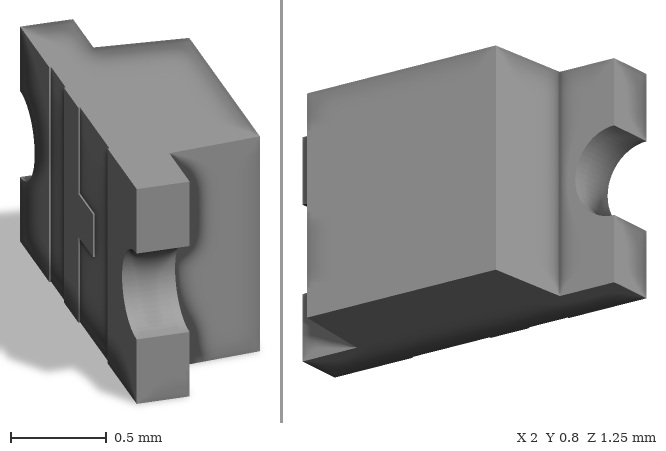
import cadquery as cq
import math


length = 2.0
width = 1.25
overall_thickness = 0.8

board_thickness = 0.3
metal_thickness = 0.01
end_notch_radius = 0.25

end_pad_length = 0.5
mark_bar_length = 0.25
mark_stem_length = 0.25
mark_stem_width = 0.25

lens_height = overall_thickness - board_thickness
lens_base_length = 1.3
lens_draft_angle = 5.0
lens_inset = lens_height * math.tan(math.radians(lens_draft_angle))
lens_top_length = lens_base_length - 2 * lens_inset


def block(x_start, x_length, y_start, y_length, z_width):
    """Box that starts at the given X and Y and is centred on Z = 0."""
    box = cq.Workplane("XY").box(x_length, y_length, z_width, centered=(False, False, True))
    return box.translate((x_start, y_start, 0))


def make_board():
    core_thickness = board_thickness - 2 * metal_thickness
    board = block(-length / 2, length, metal_thickness, core_thickness, width)

    seat_start = board_thickness - metal_thickness
    board = board.union(block(-lens_base_length / 2, lens_base_length, seat_start, metal_thickness, width))

    for pad_start in (-length / 2, length / 2 - end_pad_length):
        board = board.union(block(pad_start, end_pad_length, 0, metal_thickness, width))

    board = board.union(block(-mark_bar_length, mark_bar_length, 0, metal_thickness, width))
    board = board.union(block(0, mark_stem_length, 0, metal_thickness, mark_stem_width))

    notches = (
        cq.Workplane("XZ")
        .pushPoints([(-length / 2, 0), (length / 2, 0)])
        .circle(end_notch_radius)
        .extrude(-board_thickness)
    )
    return board.cut(notches)


def make_lens():
    return (
        cq.Workplane("XY")
        .workplane(offset=-width / 2)
        .polyline([
            (-lens_base_length / 2, board_thickness),
            (lens_base_length / 2, board_thickness),
            (lens_top_length / 2, overall_thickness),
            (-lens_top_length / 2, overall_thickness),
        ])
        .close()
        .extrude(width)
    )


board = make_board()
lens = make_lens()

result = cq.Compound.makeCompound([board.val(), lens.val()])